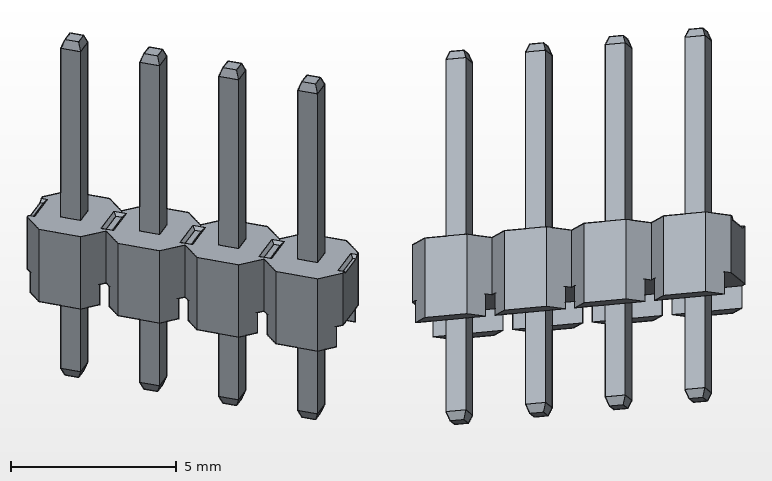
import cadquery as cq


pin_count = 4
pitch = 2.54
row_length = pin_count * pitch

housing_height = 2.5
corner_chamfer = 0.6
channel_width = 1.64
channel_depth = 0.7

recess_length = 1.12
recess_width = 0.4
recess_depth = 0.1
recess_wall_angle = 45

pin_width = 0.64
pin_tip_width = 0.44
pin_tip_length = 0.27
pin_total_length = 11.6
pin_length_below = 3.0


def cell_center(index):
    """X position of the cell and pin with the given index."""
    return (index - (pin_count - 1) / 2) * pitch


def make_cell(x):
    """One octagonal prism of the housing."""
    cell = cq.Workplane("XY").box(pitch, pitch, housing_height, centered=(True, True, False))
    return cell.edges("|Z").chamfer(corner_chamfer).translate((x, 0, 0))


def make_channel():
    """Clearance channel along the whole underside of the housing."""
    return cq.Workplane("XY").box(row_length, channel_width, channel_depth, centered=(True, True, False))


def make_recess(x):
    """Shallow pocket that narrows downward from the top face."""
    return (
        cq.Workplane("XY", origin=(x, 0, housing_height))
        .rect(recess_width, recess_length)
        .extrude(-recess_depth, taper=recess_wall_angle)
    )


def make_pin_tip(x, base_z, end_z):
    """Tapered pin end, from full width at base_z to tip width at end_z."""
    return (
        cq.Workplane("XY", origin=(x, 0, base_z))
        .rect(pin_width, pin_width)
        .workplane(offset=end_z - base_z)
        .rect(pin_tip_width, pin_tip_width)
        .loft(ruled=True)
    )


def make_pin(x):
    """Square pin with both ends tapered."""
    bottom = -pin_length_below
    top = bottom + pin_total_length
    shaft_bottom = bottom + pin_tip_length
    shaft_top = top - pin_tip_length
    shaft = (
        cq.Workplane("XY", origin=(x, 0, shaft_bottom))
        .rect(pin_width, pin_width)
        .extrude(shaft_top - shaft_bottom)
    )
    lower_tip = make_pin_tip(x, shaft_bottom, bottom)
    upper_tip = make_pin_tip(x, shaft_top, top)
    return shaft.union(lower_tip).union(upper_tip)


def make_housing():
    """Row of joined cells with the underside channel and top recesses cut."""
    housing = make_cell(cell_center(0))
    for index in range(1, pin_count):
        housing = housing.union(make_cell(cell_center(index)))
    housing = housing.cut(make_channel())
    for boundary in range(pin_count + 1):
        boundary_x = boundary * pitch - row_length / 2
        housing = housing.cut(make_recess(boundary_x))
    return housing


result = make_housing()
for pin_index in range(pin_count):
    result = result.union(make_pin(cell_center(pin_index)))